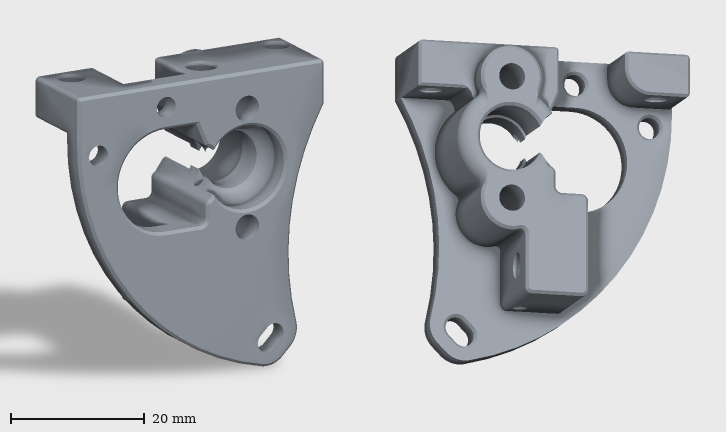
import cadquery as cq

DEPTH = 17.5
PLATE_THICKNESS = 3.5
PLATE_FRONT = DEPTH - PLATE_THICKNESS
BEAM_FRONT = 4.0
EDGE_CHAMFER = 0.45
BEAM_CHAMFER = 0.4

WIDTH = 42.13
Y_MAX = 13.26
Y_MIN = Y_MAX - WIDTH
TOP_Z = 15.0
STRAIGHT_END_Z = 8.0
TOP_CORNER_RADIUS = 0.6
OUTER_ARC_RADIUS = 40.0
OUTER_ARC_CENTER_Z = 7.67
INNER_ARC_RADIUS = 45.0
INNER_ARC_CENTER = (52.3, -14.4)
TIP_RADIUS = 4.0
TIP_FLAT_DROP = 36.6

SLOT_CENTER = (4.0, -27.07)
SLOT_TRAVEL = 1.66
SLOT_WIDTH = 3.2

BORE_RADIUS = 4.5
FRONT_BORE_RADIUS = 4.9
FRONT_BORE_DEPTH = 7.85
POCKET_RADIUS = 6.5
POCKET_FLOOR = 14.25
CONE_START = POCKET_FLOOR - (POCKET_RADIUS - BORE_RADIUS)

COLLAR_RADIUS = 8.0
COLLAR_ROUNDING = 2.0
BOSS_RADIUS = 4.75
BOSS_OFFSET = 9.25
BOSS_BLEND = 1.0
PIN_HOLE_DIAMETER = 4.0

OPENING_RADIUS = 8.0
OPENING_CENTER_Y = -13.9
WHEEL_RADIUS = 4.85
WHEEL_CENTER_Y = -8.9
LEDGE_WALL_Y = -6.86
LEDGE_FILLET = 1.0
WHEEL_EDGE_FILLET = 1.0
SLANT_TOP = (-8.5, OPENING_RADIUS)
SLANT_BOTTOM = (-6.93, 4.35)

BLOCK_Y_MAX = -2.17
BLOCK_Y_MIN = -11.92
BLOCK_BOTTOM = -23.56
BLOCK_CORNER_RADIUS = 1.0
BLOCK_BOSS_FILLET = 0.7

FOOT_Y_MAX = -18.8
FOOT_BOTTOM = 8.55
FOOT_RADIUS = 4.0

GUSSET_RADIUS = 2.0
GUSSET_Y = 4.95

HOLE_CHAMFER = 0.42
PLATE_HOLE_DIAMETER = 3.2
PLATE_HOLES = [(-13.86, 11.5), (-25.44, 5.6)]
TOP_HOLE_DIAMETER = 3.4
TOP_HOLE_X = 7.5
TOP_HOLE_YS = [10.5, -24.5]
SCREW_X = 11.5
SCREW_Y = -4.55
SCREW_DIAMETER = 2.1
SCREW_HEAD_DIAMETER = 4.2
SCREW_HEAD_DEPTH = 5.0
BLOCK_HOLE_DIAMETER = 4.0
BLOCK_HOLE_X = 5.0
BLOCK_HOLE_Z = -18.5


def section(x):
    """Sketch plane across the part at depth x, with local axes Y and Z."""
    return cq.Workplane("YZ", origin=(x, 0, 0))


def edges_along_x(body, y, z, reach=0.3):
    """Edges parallel to X that lie near the point (y, z)."""
    lower = (-1, y - reach, z - reach)
    upper = (DEPTH + 1, y + reach, z + reach)
    return body.edges("|X").edges(cq.selectors.BoxSelector(lower, upper))


def cylinder(axis, start, radius, length):
    solid = cq.Solid.makeCylinder(radius, length, cq.Vector(*start), cq.Vector(*axis))
    return cq.Workplane(solid)


def cone(axis, start, start_radius, end_radius):
    """45 degree cone, as long as its change of radius."""
    length = abs(end_radius - start_radius)
    solid = cq.Solid.makeCone(start_radius, end_radius, length, cq.Vector(*start), cq.Vector(*axis))
    return cq.Workplane(solid)


def chamfered_hole(axis, start, diameter, length):
    """Hole cutter with a chamfered mouth at its start."""
    radius = diameter / 2
    mouth = cone(axis, start, radius + HOLE_CHAMFER, radius)
    return cylinder(axis, start, radius, length).union(mouth)


def make_plate():
    """Back plate between two large arcs, with a rounded tip that ends in a 45 degree flat."""
    beyond = Y_MIN - 1
    below = beyond - TIP_FLAT_DROP
    blank = section(PLATE_FRONT).polyline([
        (beyond, TOP_Z),
        (Y_MAX, TOP_Z),
        (Y_MAX, Y_MAX - TIP_FLAT_DROP),
        (beyond, below),
    ]).close().extrude(PLATE_THICKNESS)
    straight_part = section(PLATE_FRONT).moveTo(Y_MIN, STRAIGHT_END_Z)
    straight_part = straight_part.rect(WIDTH, TOP_Z - STRAIGHT_END_Z, centered=False)
    arc_start_rise = STRAIGHT_END_Z - OUTER_ARC_CENTER_Z
    outer_center_y = Y_MIN + (OUTER_ARC_RADIUS ** 2 - arc_start_rise ** 2) ** 0.5
    outer_disc = section(PLATE_FRONT).center(outer_center_y, OUTER_ARC_CENTER_Z).circle(OUTER_ARC_RADIUS)
    above_arc = section(PLATE_FRONT).moveTo(beyond, STRAIGHT_END_Z)
    above_arc = above_arc.rect(WIDTH + 1, TOP_Z - STRAIGHT_END_Z, centered=False).extrude(PLATE_THICKNESS)
    outside = outer_disc.extrude(PLATE_THICKNESS).cut(above_arc).union(straight_part.extrude(PLATE_THICKNESS))
    inner_disc = section(PLATE_FRONT).center(*INNER_ARC_CENTER).circle(INNER_ARC_RADIUS)
    plate = blank.intersect(outside).cut(inner_disc.extrude(PLATE_THICKNESS))

    tip_area = cq.selectors.BoxSelector((0, -Y_MAX, below), (DEPTH + 1, Y_MAX, SLOT_CENTER[1] + TIP_RADIUS))
    plate = plate.edges("|X").edges(tip_area).fillet(TIP_RADIUS)
    for corner_y in (Y_MIN, Y_MAX):
        plate = edges_along_x(plate, corner_y, TOP_Z).fillet(TOP_CORNER_RADIUS)
    plate = plate.cut(make_opening(PLATE_FRONT, PLATE_THICKNESS))
    return plate.faces(">X").chamfer(EDGE_CHAMFER)


def make_beam():
    """Thick bar along the top edge, with a slanted end beside the opening."""
    length = PLATE_FRONT - BEAM_FRONT
    beam = section(BEAM_FRONT).polyline([
        (Y_MAX, TOP_Z),
        (SLANT_TOP[0], TOP_Z),
        SLANT_TOP,
        SLANT_BOTTOM,
        (0, SLANT_BOTTOM[1]),
        (0, STRAIGHT_END_Z),
        (Y_MAX, STRAIGHT_END_Z),
    ]).close().extrude(length)
    for corner_y in (Y_MAX, SLANT_TOP[0]):
        beam = edges_along_x(beam, corner_y, TOP_Z).fillet(TOP_CORNER_RADIUS)
    beam = beam.faces("<X").chamfer(BEAM_CHAMFER)

    arc_center_y = GUSSET_Y + GUSSET_RADIUS
    arc_center_z = STRAIGHT_END_Z + BEAM_CHAMFER - GUSSET_RADIUS
    gusset = section(BEAM_FRONT).moveTo(arc_center_y, arc_center_z + GUSSET_RADIUS)
    gusset = gusset.radiusArc((GUSSET_Y, arc_center_z), -GUSSET_RADIUS)
    gusset = gusset.lineTo(0, arc_center_z).lineTo(0, arc_center_z + GUSSET_RADIUS).close()
    return beam.union(gusset.extrude(length))


def make_foot():
    """Short bar under the -Y end of the top edge."""
    foot = section(BEAM_FRONT).moveTo(Y_MIN, FOOT_BOTTOM)
    foot = foot.rect(FOOT_Y_MAX - Y_MIN, TOP_Z - FOOT_BOTTOM, centered=False).extrude(PLATE_FRONT - BEAM_FRONT)
    foot = edges_along_x(foot, FOOT_Y_MAX, FOOT_BOTTOM).fillet(FOOT_RADIUS)
    for corner in ((Y_MIN, TOP_Z), (FOOT_Y_MAX, TOP_Z), (Y_MIN, FOOT_BOTTOM)):
        foot = edges_along_x(foot, *corner).fillet(TOP_CORNER_RADIUS)
    return foot.faces("<X").chamfer(BEAM_CHAMFER)


def chamfer_boss_rim(body, side):
    """Chamfer the rim of one boss and its two blends into the collar."""
    rim_radius = BOSS_RADIUS + EDGE_CHAMFER
    ring = section(0).center(0, side * BOSS_OFFSET).circle(rim_radius).extrude(EDGE_CHAMFER)
    boss_center = (0, 0, side * BOSS_OFFSET)
    along_x = (1, 0, 0)
    ring = ring.cut(cone(along_x, boss_center, BOSS_RADIUS - EDGE_CHAMFER, BOSS_RADIUS))

    to_boss = BOSS_RADIUS + BOSS_BLEND
    to_bore = COLLAR_RADIUS + BOSS_BLEND
    blend_z = (to_bore ** 2 + BOSS_OFFSET ** 2 - to_boss ** 2) / (2 * BOSS_OFFSET)
    blend_y = (to_bore ** 2 - blend_z ** 2) ** 0.5

    tangent_z = BOSS_OFFSET - (BOSS_OFFSET - blend_z) * BOSS_RADIUS / to_boss
    keep = section(0).center(0, side * (tangent_z + BOSS_OFFSET)).rect(4 * BOSS_RADIUS, 2 * BOSS_OFFSET)
    body = body.cut(ring.intersect(keep.extrude(EDGE_CHAMFER)))
    for y in (-blend_y, blend_y):
        body = body.cut(cone(along_x, (0, y, side * blend_z), BOSS_BLEND + EDGE_CHAMFER, 0))
    return body


def make_collar():
    """Rounded collar around the bore, blended into the two pin bosses."""
    collar = section(0).circle(COLLAR_RADIUS).extrude(PLATE_FRONT)
    collar = collar.faces("<X").edges().fillet(COLLAR_ROUNDING)
    bosses = section(0).pushPoints([(0, BOSS_OFFSET), (0, -BOSS_OFFSET)]).circle(BOSS_RADIUS)
    joined = collar.union(bosses.extrude(PLATE_FRONT))

    before_plate = cq.selectors.BoxSelector(
        (-1, -COLLAR_RADIUS, -BOSS_OFFSET), (PLATE_FRONT - 1, COLLAR_RADIUS, BOSS_OFFSET))
    joined = joined.edges(before_plate).edges("not %CIRCLE").fillet(BOSS_BLEND)
    for side in (-1, 1):
        joined = chamfer_boss_rim(joined, side)
    return joined


def make_opening(x, length):
    """Cutter for the opening beside the bore: a round-ended slot and a wheel clearance."""
    slanted = section(x).polyline([
        (OPENING_CENTER_Y, OPENING_RADIUS),
        SLANT_TOP,
        SLANT_BOTTOM,
        (WHEEL_CENTER_Y, 0),
        (LEDGE_WALL_Y, 0),
        (LEDGE_WALL_Y, -OPENING_RADIUS),
        (OPENING_CENTER_Y, -OPENING_RADIUS),
    ]).close().extrude(length)
    round_end = section(x).center(OPENING_CENTER_Y, 0).circle(OPENING_RADIUS).extrude(length)
    wheel = section(x).center(WHEEL_CENTER_Y, 0).circle(WHEEL_RADIUS).extrude(length)
    opening = slanted.union(wheel)
    wheel_edge_z = -(WHEEL_RADIUS ** 2 - (LEDGE_WALL_Y - WHEEL_CENTER_Y) ** 2) ** 0.5
    opening = edges_along_x(opening, LEDGE_WALL_Y, wheel_edge_z).fillet(WHEEL_EDGE_FILLET)
    opening = edges_along_x(opening, LEDGE_WALL_Y, -OPENING_RADIUS).fillet(LEDGE_FILLET)
    return opening.union(round_end)


def make_lower_block():
    """Clamp block below the bore, joined to the lower pin boss."""
    foot_block = section(0).moveTo(BLOCK_Y_MIN, BLOCK_BOTTOM)
    foot_block = foot_block.rect(BLOCK_Y_MAX - BLOCK_Y_MIN, -OPENING_RADIUS - BLOCK_BOTTOM, centered=False)
    neck = section(0).moveTo(BLOCK_Y_MIN, -OPENING_RADIUS)
    neck = neck.rect(-BLOCK_Y_MIN, OPENING_RADIUS, centered=False)
    boss = section(0).center(0, -BOSS_OFFSET).circle(BOSS_RADIUS)
    block = foot_block.extrude(PLATE_FRONT).union(neck.extrude(PLATE_FRONT)).union(boss.extrude(PLATE_FRONT))
    block = block.cut(make_opening(0, PLATE_FRONT))

    for corner in (
        (BLOCK_Y_MIN, -OPENING_RADIUS),
        (BLOCK_Y_MIN, BLOCK_BOTTOM),
        (BLOCK_Y_MAX, BLOCK_BOTTOM),
    ):
        block = edges_along_x(block, *corner).fillet(BLOCK_CORNER_RADIUS)
    seam_z = -BOSS_OFFSET - (BOSS_RADIUS ** 2 - BLOCK_Y_MAX ** 2) ** 0.5
    block = edges_along_x(block, BLOCK_Y_MAX, seam_z).fillet(BLOCK_BOSS_FILLET)
    return block.faces("<X").chamfer(EDGE_CHAMFER)


def cut_bore(body):
    """Stepped bore with a chamfered mouth and a conical step into the rear pocket."""
    along_x = (1, 0, 0)
    bore = cylinder(along_x, (0, 0, 0), BORE_RADIUS, DEPTH)
    bore = bore.union(cylinder(along_x, (0, 0, 0), FRONT_BORE_RADIUS, FRONT_BORE_DEPTH))
    bore = bore.union(cone(along_x, (0, 0, 0), FRONT_BORE_RADIUS + EDGE_CHAMFER, FRONT_BORE_RADIUS))
    bore = bore.union(cone(along_x, (CONE_START, 0, 0), BORE_RADIUS, POCKET_RADIUS))
    bore = bore.union(cylinder(along_x, (POCKET_FLOOR, 0, 0), POCKET_RADIUS, DEPTH - POCKET_FLOOR))
    bore = bore.union(cone((-1, 0, 0), (DEPTH, 0, 0), POCKET_RADIUS + EDGE_CHAMFER, POCKET_RADIUS))
    return body.cut(bore)


def cut_plate_holes(body):
    for y, z in PLATE_HOLES:
        hole = chamfered_hole((1, 0, 0), (PLATE_FRONT, y, z), PLATE_HOLE_DIAMETER, PLATE_THICKNESS)
        body = body.cut(hole)
    slot = section(PLATE_FRONT).center(*SLOT_CENTER).slot2D(SLOT_TRAVEL + SLOT_WIDTH, SLOT_WIDTH, 45)
    mouth = section(PLATE_FRONT).center(*SLOT_CENTER)
    mouth = mouth.slot2D(SLOT_TRAVEL + SLOT_WIDTH + 2 * HOLE_CHAMFER, SLOT_WIDTH + 2 * HOLE_CHAMFER, 45)
    body = body.cut(slot.extrude(PLATE_THICKNESS))
    return body.cut(mouth.extrude(HOLE_CHAMFER, taper=45))


def cut_pin_holes(body):
    pins = section(0).pushPoints([(0, BOSS_OFFSET), (0, -BOSS_OFFSET)]).circle(PIN_HOLE_DIAMETER / 2)
    return body.cut(pins.extrude(DEPTH))


def cut_top_holes(body):
    """Mounting holes through the beam and foot, and the screw hole that grazes the bore."""
    down = (0, 0, -1)
    for y in TOP_HOLE_YS:
        hole = chamfered_hole(down, (TOP_HOLE_X, y, TOP_Z), TOP_HOLE_DIAMETER, TOP_Z)
        body = body.cut(hole)
    screw_top = (SCREW_X, SCREW_Y, TOP_Z)
    body = body.cut(chamfered_hole(down, screw_top, SCREW_HEAD_DIAMETER, SCREW_HEAD_DEPTH))
    return body.cut(cylinder(down, screw_top, SCREW_DIAMETER / 2, TOP_Z - BLOCK_BOTTOM))


def cut_block_hole(body):
    start = (BLOCK_HOLE_X, BLOCK_Y_MIN, BLOCK_HOLE_Z)
    return body.cut(chamfered_hole((0, 1, 0), start, BLOCK_HOLE_DIAMETER, BLOCK_Y_MAX - BLOCK_Y_MIN))


body = make_beam().union(make_collar()).cut(make_opening(0, PLATE_FRONT))
body = body.union(make_plate()).union(make_foot()).union(make_lower_block())
body = cut_bore(body)
body = cut_plate_holes(body)
body = cut_pin_holes(body)
body = cut_top_holes(body)
result = cut_block_hole(body)